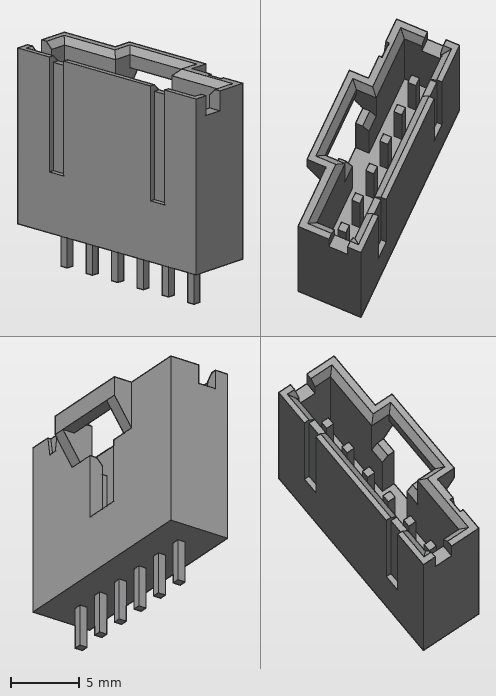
import cadquery as cq

LENGTH = 17.78
DEPTH = 5.07
HEIGHT = 13.58
FLOOR_TOP = 4.71

SIDE_WALL = 1.01
FRONT_WALL = 0.95
BACK_WALL = 1.08
LEAD_IN = 0.52

BRACKET_LENGTH = 7.65
BRACKET_REACH = 1.53
BRACKET_FLAT = 1.53
WINDOW_DROP = 3.79
KEYWAY_LENGTH = 3.0

NOTCH_START = 1.08
NOTCH_WIDTH = 1.5
NOTCH_DROP = 1.53
GROOVE_WIDTH = 1.4
GROOVE_SPACING = 10.06
GROOVE_DEPTH = FRONT_WALL - LEAD_IN

PIN_COUNT = 6
PIN_PITCH = 2.52
PIN_SIZE = 0.64
PIN_TAIL = 3.3
PIN_Y = 2.55

MARK_OFFSET = 6.35
MARK_TOP_WIDTH = 1.23
MARK_BOTTOM_WIDTH = 0.71
MARK_HEIGHT = 1.5
MARK_DEPTH = 0.27

MID_X = LENGTH / 2
BRACKET_BACK = DEPTH + BRACKET_REACH
WINDOW_LENGTH = BRACKET_LENGTH - 2 * SIDE_WALL
WINDOW_SILL = HEIGHT - WINDOW_DROP
CAVITY_BACK = DEPTH - BACK_WALL


def block(x_start, x_end, y_start, y_end, z_start, z_end):
    """Box between two opposite corners."""
    size = (x_end - x_start, y_end - y_start, z_end - z_start)
    return cq.Workplane("XY").box(*size, centered=False).translate((x_start, y_start, z_start))


def centered_block(mid_x, length, y_start, y_end, z_start, z_end):
    """Box placed symmetrically about mid_x."""
    return block(mid_x - length / 2, mid_x + length / 2, y_start, y_end, z_start, z_end)


def bevelled_opening(x_start, x_end, y_start, y_end, z_start, z_top):
    """Rectangular well whose mouth widens at 45 degrees over the lead-in height."""
    well = block(x_start, x_end, y_start, y_end, z_start, z_top)
    mouth = (
        cq.Workplane("XY", origin=((x_start + x_end) / 2, (y_start + y_end) / 2, z_top - LEAD_IN))
        .rect(x_end - x_start, y_end - y_start)
        .workplane(offset=LEAD_IN)
        .rect(x_end - x_start + 2 * LEAD_IN, y_end - y_start + 2 * LEAD_IN)
        .loft(ruled=True)
    )
    return well.union(mouth)


def latch_bracket():
    """Solid bracket with a sloped underside running down to the back wall."""
    profile = [
        (CAVITY_BACK, HEIGHT),
        (BRACKET_BACK, HEIGHT),
        (BRACKET_BACK, HEIGHT - BRACKET_FLAT),
        (DEPTH, WINDOW_SILL),
        (CAVITY_BACK, WINDOW_SILL),
    ]
    return (
        cq.Workplane("YZ", origin=(MID_X - BRACKET_LENGTH / 2, 0, 0))
        .polyline(profile)
        .close()
        .extrude(BRACKET_LENGTH)
    )


def housing():
    """Open-topped shell with the hollow bracket and its window."""
    shell = block(0, LENGTH, 0, DEPTH, 0, HEIGHT).union(latch_bracket())
    cavity = bevelled_opening(SIDE_WALL, LENGTH - SIDE_WALL, FRONT_WALL, CAVITY_BACK, FLOOR_TOP, HEIGHT)
    window = bevelled_opening(
        MID_X - WINDOW_LENGTH / 2,
        MID_X + WINDOW_LENGTH / 2,
        FRONT_WALL + LEAD_IN,
        BRACKET_BACK - SIDE_WALL,
        WINDOW_SILL,
        HEIGHT,
    )
    sill_bevel = (
        cq.Workplane("YZ", origin=(MID_X - WINDOW_LENGTH / 2, 0, 0))
        .moveTo(CAVITY_BACK, WINDOW_SILL)
        .lineTo(CAVITY_BACK + LEAD_IN, WINDOW_SILL)
        .lineTo(CAVITY_BACK, WINDOW_SILL - LEAD_IN)
        .close()
        .extrude(WINDOW_LENGTH)
    )
    outlet = centered_block(
        MID_X, WINDOW_LENGTH, CAVITY_BACK, BRACKET_BACK, WINDOW_SILL, HEIGHT - BRACKET_FLAT
    )
    keyway = centered_block(MID_X, KEYWAY_LENGTH, CAVITY_BACK, DEPTH, FLOOR_TOP, WINDOW_SILL)
    return shell.cut(cavity).cut(window).cut(outlet).cut(sill_bevel).cut(keyway)


def end_notches():
    """Notch through the top of both end walls."""
    return block(0, LENGTH, NOTCH_START, NOTCH_START + NOTCH_WIDTH, HEIGHT - NOTCH_DROP, HEIGHT)


def front_groove(mid_x):
    """Upright groove in the front wall, with the rim above it cut away."""
    groove = centered_block(mid_x, GROOVE_WIDTH, 0, GROOVE_DEPTH, FLOOR_TOP, HEIGHT)
    rim_gap = centered_block(mid_x, GROOVE_WIDTH, 0, FRONT_WALL, HEIGHT - LEAD_IN, HEIGHT)
    return groove.union(rim_gap)


def pin_mark(mid_x):
    """Shallow trapezoid, narrower at the bottom, in the back face at the rim."""
    outline = [
        (mid_x - MARK_TOP_WIDTH / 2, HEIGHT),
        (mid_x + MARK_TOP_WIDTH / 2, HEIGHT),
        (mid_x + MARK_BOTTOM_WIDTH / 2, HEIGHT - MARK_HEIGHT),
        (mid_x - MARK_BOTTOM_WIDTH / 2, HEIGHT - MARK_HEIGHT),
    ]
    return cq.Workplane("XZ", origin=(0, DEPTH, 0)).polyline(outline).close().extrude(MARK_DEPTH)


first_pin_x = MID_X - (PIN_COUNT - 1) * PIN_PITCH / 2
pin_positions = [first_pin_x + i * PIN_PITCH for i in range(PIN_COUNT)]

result = housing().cut(end_notches())
for side in (-1, 1):
    result = result.cut(front_groove(MID_X + side * GROOVE_SPACING / 2))
result = result.cut(pin_mark(MID_X + MARK_OFFSET))

for pin_x in pin_positions:
    pin = centered_block(
        pin_x, PIN_SIZE, PIN_Y - PIN_SIZE / 2, PIN_Y + PIN_SIZE / 2, -PIN_TAIL, WINDOW_SILL
    )
    result = result.union(pin)